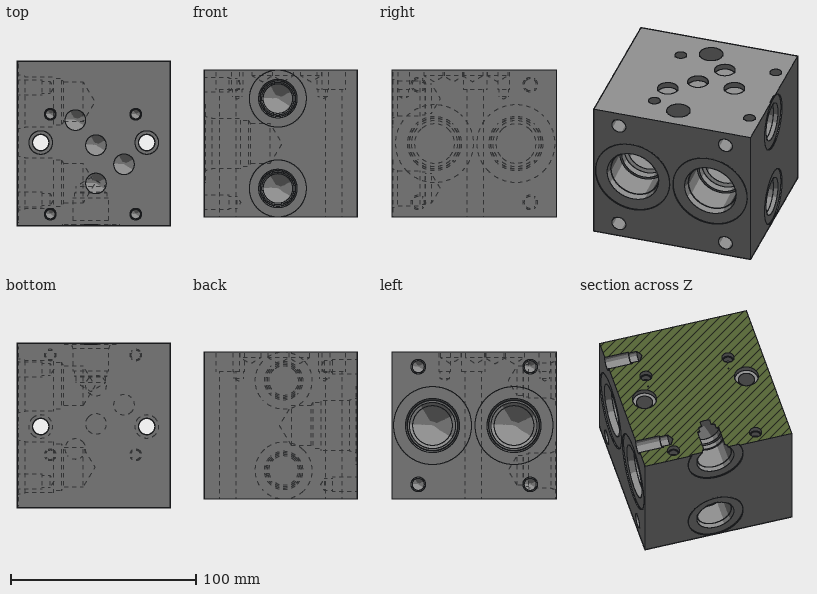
import cadquery as cq
import math

LENGTH_X = 82.6
LENGTH_Y = 88.9
LENGTH_Z = 79.4

DRILL_POINT_ANGLE = 118.0
SPOTFACE_DEPTH = 0.7

WORK_PORT_X = 39.7
WORK_PORT_EDGE = 15.5
WORK_SPOTFACE_DIAMETER = 30.8
WORK_MOUTH_DIAMETER = 20.8
WORK_SEAT_DIAMETER = 19.3
WORK_SEAT_DEPTH = 3.0
WORK_THREAD_DIAMETER = 19.0
WORK_THREAD_DEPTH = 15.1
WORK_TAP_DRILL_DIAMETER = 17.5
WORK_TAP_DRILL_DEPTH = 17.8
WORK_PASSAGE_DIAMETER = 15.9
WORK_PASSAGE_DEPTH = 21.3

SUPPLY_PORT_MIDDLE_Y = 45.0
SUPPLY_PORT_SPACING = 43.9
SUPPLY_SPOTFACE_DIAMETER = 42.05
SUPPLY_MOUTH_DIAMETER = 29.2
SUPPLY_SEAT_DIAMETER = 27.5
SUPPLY_SEAT_DEPTH = 4.4
SUPPLY_THREAD_DIAMETER = 27.0
SUPPLY_THREAD_DEPTH = 19.6
SUPPLY_TAP_DRILL_DIAMETER = 24.9
SUPPLY_TAP_DRILL_DEPTH = 24.0
SUPPLY_PASSAGE_DIAMETER = 21.4
SUPPLY_PASSAGE_DEPTH = 35.6

SIDE_THREAD_DIAMETER = 7.9
SIDE_THREAD_DEPTH = 13.3
SIDE_DRILL_DIAMETER = 6.5
SIDE_DRILL_DEPTH = 17.8
SIDE_SPACING_Y = 60.4
SIDE_SPACING_Z = 63.5

VALVE_THREAD_DIAMETER = 6.3
VALVE_THREAD_DEPTH = 10.7
VALVE_DRILL_DIAMETER = 5.1
VALVE_DRILL_DEPTH = 14.2
VALVE_LEFT_X = 17.9
VALVE_BACK_Y = 60.3
VALVE_SPACING_X = 46.05
VALVE_SPACING_Y = 53.9
VALVE_PORT_DIAMETER = 11.1
VALVE_PORT_DEPTH = 3.1
VALVE_PORT_OFFSETS = [(13.5, 3.2), (24.6, 16.7), (39.7, 27.0), (24.6, 37.3)]

BOLT_HOLE_DIAMETER = 8.7
BOLT_HEAD_DIAMETER = 12.7
BOLT_HEAD_DEPTH = 10.7
BOLT_SPACING_X = 57.2


def drill_point_height(diameter):
    return diameter / 2 / math.tan(math.radians(DRILL_POINT_ANGLE / 2))


def turned_cutter(profile, position, direction):
    """Solid of revolution from (radius, depth) points, pointing into the block along direction."""
    cutter = cq.Workplane("XZ").polyline(profile).close().revolve(360, (0, 0), (0, 1)).val()
    target = cq.Plane(origin=position, normal=direction)
    return cutter.moved(cq.Location(target))


def threaded_port(spotface, mouth, seat, seat_depth, thread, thread_depth,
                  tap_drill, tap_drill_depth, passage, passage_depth, position, direction):
    """Spotfaced port: tapered seal seat, thread, tap drill and pointed passage."""
    tap_point = drill_point_height(tap_drill) - drill_point_height(passage)
    profile = [
        (0, 0),
        (spotface / 2, 0),
        (spotface / 2, SPOTFACE_DEPTH),
        (mouth / 2, SPOTFACE_DEPTH),
        (seat / 2, seat_depth),
        (thread / 2, seat_depth),
        (thread / 2, thread_depth),
        (tap_drill / 2, thread_depth),
        (tap_drill / 2, tap_drill_depth),
        (passage / 2, tap_drill_depth + tap_point),
        (passage / 2, passage_depth),
        (0, passage_depth + drill_point_height(passage)),
    ]
    return turned_cutter(profile, position, direction)


def tapped_hole(thread, thread_depth, drill, drill_depth, position, direction):
    """Blind thread on a deeper pointed tap drill."""
    profile = [
        (0, 0),
        (thread / 2, 0),
        (thread / 2, thread_depth),
        (drill / 2, thread_depth),
        (drill / 2, drill_depth),
        (0, drill_depth + drill_point_height(drill)),
    ]
    return turned_cutter(profile, position, direction)


def drilled_hole(diameter, depth, position, direction):
    """Blind hole with a pointed bottom."""
    profile = [
        (0, 0),
        (diameter / 2, 0),
        (diameter / 2, depth),
        (0, depth + drill_point_height(diameter)),
    ]
    return turned_cutter(profile, position, direction)


def bolt_hole(position, direction):
    """Through hole with a counterbore for the bolt head."""
    profile = [
        (0, 0),
        (BOLT_HEAD_DIAMETER / 2, 0),
        (BOLT_HEAD_DIAMETER / 2, BOLT_HEAD_DEPTH),
        (BOLT_HOLE_DIAMETER / 2, BOLT_HEAD_DEPTH),
        (BOLT_HOLE_DIAMETER / 2, LENGTH_Z),
        (0, LENGTH_Z),
    ]
    return turned_cutter(profile, position, direction)


INTO_FRONT = (0, 1, 0)
INTO_SIDE = (1, 0, 0)
INTO_TOP = (0, 0, -1)

result = cq.Workplane("XY").box(LENGTH_X, LENGTH_Y, LENGTH_Z, centered=False)

for z in (WORK_PORT_EDGE, LENGTH_Z - WORK_PORT_EDGE):
    result = result.cut(threaded_port(
        WORK_SPOTFACE_DIAMETER,
        WORK_MOUTH_DIAMETER,
        WORK_SEAT_DIAMETER, WORK_SEAT_DEPTH,
        WORK_THREAD_DIAMETER, WORK_THREAD_DEPTH,
        WORK_TAP_DRILL_DIAMETER, WORK_TAP_DRILL_DEPTH,
        WORK_PASSAGE_DIAMETER, WORK_PASSAGE_DEPTH,
        (WORK_PORT_X, 0, z), INTO_FRONT,
    ))

for side in (-1, 1):
    y = SUPPLY_PORT_MIDDLE_Y + side * SUPPLY_PORT_SPACING / 2
    result = result.cut(threaded_port(
        SUPPLY_SPOTFACE_DIAMETER,
        SUPPLY_MOUTH_DIAMETER,
        SUPPLY_SEAT_DIAMETER, SUPPLY_SEAT_DEPTH,
        SUPPLY_THREAD_DIAMETER, SUPPLY_THREAD_DEPTH,
        SUPPLY_TAP_DRILL_DIAMETER, SUPPLY_TAP_DRILL_DEPTH,
        SUPPLY_PASSAGE_DIAMETER, SUPPLY_PASSAGE_DEPTH,
        (0, y, LENGTH_Z / 2), INTO_SIDE,
    ))

for y_side in (-1, 1):
    for z_side in (-1, 1):
        y = LENGTH_Y / 2 + y_side * SIDE_SPACING_Y / 2
        z = LENGTH_Z / 2 + z_side * SIDE_SPACING_Z / 2
        result = result.cut(tapped_hole(
            SIDE_THREAD_DIAMETER, SIDE_THREAD_DEPTH,
            SIDE_DRILL_DIAMETER, SIDE_DRILL_DEPTH,
            (0, y, z), INTO_SIDE,
        ))

for x in (VALVE_LEFT_X, VALVE_LEFT_X + VALVE_SPACING_X):
    for y in (VALVE_BACK_Y, VALVE_BACK_Y - VALVE_SPACING_Y):
        result = result.cut(tapped_hole(
            VALVE_THREAD_DIAMETER, VALVE_THREAD_DEPTH,
            VALVE_DRILL_DIAMETER, VALVE_DRILL_DEPTH,
            (x, y, LENGTH_Z), INTO_TOP,
        ))

for right, forward in VALVE_PORT_OFFSETS:
    position = (VALVE_LEFT_X + right, VALVE_BACK_Y - forward, LENGTH_Z)
    result = result.cut(drilled_hole(VALVE_PORT_DIAMETER, VALVE_PORT_DEPTH, position, INTO_TOP))

for side in (-1, 1):
    x = LENGTH_X / 2 + side * BOLT_SPACING_X / 2
    result = result.cut(bolt_hole((x, SUPPLY_PORT_MIDDLE_Y, LENGTH_Z), INTO_TOP))